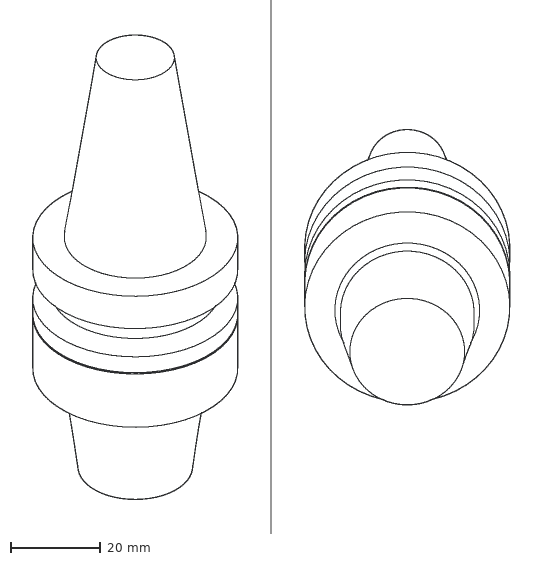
import cadquery as cq

total_height = 111.9
nose_cone_top = 16.5
neck_top = 23.2
shoulder_break = 25.0
body_bottom = 26.9
body_top = 41.4
seam_width = 0.3
groove_bottom = 46.1
groove_floor_bottom = 48.3
groove_floor_top = 51.8
groove_top = 53.8
flange_top = 62.7
collar_top = 63.7

nose_tip_diameter = 25.7
neck_diameter = 30.0
shoulder_break_diameter = 32.5
flange_diameter = 46.0
seam_diameter = 45.9
groove_floor_diameter = 38.0
shank_base_diameter = 31.8
shank_tip_diameter = 17.6

profile = [
    (nose_tip_diameter, 0),
    (neck_diameter, nose_cone_top),
    (neck_diameter, neck_top),
    (shoulder_break_diameter, shoulder_break),
    (flange_diameter, body_bottom),
    (flange_diameter, body_top),
    (seam_diameter, body_top),
    (seam_diameter, body_top + seam_width),
    (flange_diameter, body_top + seam_width),
    (flange_diameter, groove_bottom),
    (groove_floor_diameter, groove_floor_bottom),
    (groove_floor_diameter, groove_floor_top),
    (flange_diameter, groove_top),
    (flange_diameter, flange_top),
    (shank_base_diameter, flange_top),
    (shank_base_diameter, collar_top),
    (shank_tip_diameter, total_height),
]

half_section = cq.Workplane("XZ").moveTo(0, 0)
for diameter, height in profile:
    half_section = half_section.lineTo(diameter / 2, height)
half_section = half_section.lineTo(0, total_height).close()

result = half_section.revolve(360, (0, 0, 0), (0, 1, 0))